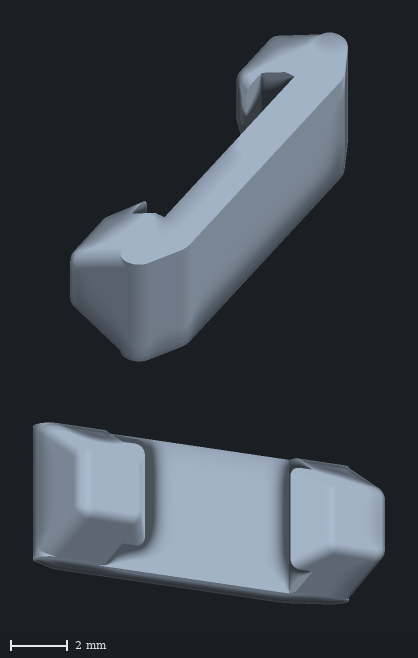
import cadquery as cq
import math

depth = 4.0
length = 13.6
height = 4.8

bar_inner_x = 2.5
back_bevel_x = 3.09
back_bevel_angle = 28.0
bevel_end_radius = 0.7
bevel_back_radius = 1.0

slope_start_x = 2.11
slope_angle = 30.0
front_length = 2.58
notch_x = 1.12
lip_reach = 3.59
notch_end = 2.6
edge_radius = 0.5

half_length = length / 2
half_height = height / 2
slope = math.tan(math.radians(slope_angle))
front_half_height = half_height - slope_start_x * slope
bevel_length = (depth - back_bevel_x) / math.tan(math.radians(back_bevel_angle))
lip_slope = (lip_reach - front_length) / notch_x
hook_root_x = slope_start_x + edge_radius


def make_bar():
    """Constant-height bar with rounded, bevelled ends."""
    end_outline = [
        (slope_start_x, -half_length),
        (back_bevel_x, -half_length),
        (depth, -half_length + bevel_length),
    ]
    far_end = [(x, -y) for x, y in reversed(end_outline)]
    bar = cq.Workplane("XY").polyline(end_outline + far_end).close().extrude(half_height, both=True)
    corner_radii = [edge_radius, bevel_end_radius, bevel_back_radius]
    for (x, y), radius in zip(end_outline, corner_radii):
        for side in (-1, 1):
            corner = cq.selectors.NearestToPointSelector((x, side * y, 0))
            bar = bar.edges("|Z").edges(corner).fillet(radius)
    return bar


def make_hook():
    """Rounded, tapered hook at the -Y end, clipped to the bar height."""
    root_half_height = front_half_height + hook_root_x * slope
    side_profile = [
        (0, -front_half_height),
        (hook_root_x, -root_half_height),
        (hook_root_x, root_half_height),
        (0, front_half_height),
    ]
    plan = [
        (0, -half_length),
        (hook_root_x, -half_length),
        (hook_root_x, -half_length + front_length + lip_slope * hook_root_x),
        (0, -half_length + front_length),
    ]
    taper = cq.Workplane("XZ").polyline(side_profile).close().extrude(half_length, both=True)
    hook = cq.Workplane("XY").polyline(plan).close().extrude(root_half_height, both=True)
    hook = hook.intersect(taper)
    root_edges = hook.faces(">X").edges()
    hook = hook.edges().filter(lambda edge: edge not in root_edges.vals()).fillet(edge_radius)
    return hook.intersect(cq.Workplane("XY").box(2 * depth, 2 * length, height))


def make_undercut():
    """Slot behind both lips, up to the hook-side face of the bar."""
    undercut = cq.Workplane("XY").box(
        bar_inner_x - notch_x, length - 2 * notch_end, height, centered=(False, True, True)
    )
    return undercut.translate((notch_x, 0, 0))


hook = make_hook()
body = make_bar().union(hook).union(hook.mirror("XZ"))
result = body.cut(make_undercut()).clean()